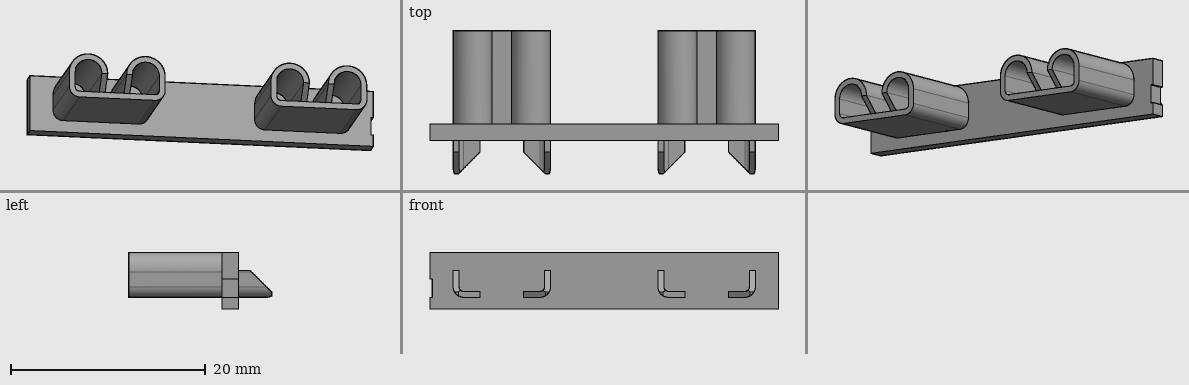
import cadquery as cq
import math

plate_length = 35.8
plate_thickness = 1.72
plate_height = 5.85
notch_depth = 0.25
notch_height = 1.85

clip_pitch = 21.02
clip_width = 10.0
socket_length = 9.55
sheet = 0.6
bend_radius = 1.07
hood_radius = 2.0
hood_center_z = 2.6
inner_wall_gap = 0.3

leg_flange = 2.75
leg_straight = 1.18
leg_reach = 3.4

clip_bottom = plate_height - hood_center_z - hood_radius
hood_inner = hood_radius - sheet
bend_inner = bend_radius - sheet
inner_wall_bottom = sheet + inner_wall_gap
inner_wall_drop = hood_center_z - inner_wall_bottom
socket_span = 2 * hood_radius
leg_end = plate_thickness + leg_reach
leg_shoulder = plate_thickness + leg_straight
tip_width = leg_flange - (leg_reach - leg_straight)


def bent_sheet(length):
    """Left half of the clip section, extruded along -Y (+Y if length is negative).

    The outer wall lies on X = 0, the underside of the base on Z = 0.
    """
    bend_diagonal = math.sqrt(0.5)
    outer_bend_mid = bend_radius * (1 - bend_diagonal)
    inner_bend_mid = bend_radius - bend_inner * bend_diagonal
    return (
        cq.Workplane("XZ")
        .moveTo(clip_width / 2, 0)
        .lineTo(bend_radius, 0)
        .threePointArc((outer_bend_mid, outer_bend_mid), (0, bend_radius))
        .lineTo(0, hood_center_z)
        .threePointArc((hood_radius, hood_center_z + hood_radius), (socket_span, hood_center_z))
        .lineTo(socket_span, inner_wall_bottom)
        .lineTo(socket_span - sheet, inner_wall_bottom)
        .lineTo(socket_span - sheet, hood_center_z)
        .threePointArc((hood_radius, hood_center_z + hood_inner), (sheet, hood_center_z))
        .lineTo(sheet, bend_radius)
        .threePointArc((inner_bend_mid, inner_bend_mid), (bend_radius, sheet))
        .lineTo(clip_width / 2, sheet)
        .close()
        .extrude(length)
    )


def make_socket():
    """Socket behind the plate, its inner wall cut back at 45 degrees below the hood."""
    inner_wall_cut = (
        cq.Workplane("YZ")
        .workplane(offset=socket_span - sheet)
        .moveTo(socket_length, hood_center_z)
        .lineTo(socket_length, inner_wall_bottom)
        .lineTo(socket_length - inner_wall_drop, inner_wall_bottom)
        .close()
        .extrude(sheet)
    )
    return bent_sheet(-socket_length).cut(inner_wall_cut)


def leg_taper(plane, depth):
    """Prism with the tapered outline of a leg flange, drawn on the given plane."""
    return (
        cq.Workplane(plane)
        .polyline([
            (0, 0),
            (leg_flange, 0),
            (leg_flange, -leg_shoulder),
            (tip_width, -leg_end),
            (0, -leg_end),
        ])
        .close()
        .extrude(depth)
    )


def make_leg():
    """Corner of the clip section carried through the plate, both flanges tapered."""
    bottom_flange = leg_taper("XY", leg_flange)
    side_flange = leg_taper("ZY", -leg_flange)
    return bent_sheet(leg_end).intersect(bottom_flange).intersect(side_flange)


def make_clip(center_x):
    """Two mirrored halves, each a socket with its leg, joined along the base."""
    left_half = make_socket().union(make_leg()).translate((-clip_width / 2, 0, clip_bottom))
    return left_half.union(left_half.mirror("YZ")).translate((center_x, 0, 0))


def make_plate(clips):
    """Plate with a shallow notch in its left end and an L-shaped slot around each leg."""
    plate = cq.Workplane("XY").box(
        plate_length, plate_thickness, plate_height, centered=(True, False, False)
    ).translate((0, -plate_thickness, 0))
    notch = cq.Workplane("XY").box(
        notch_depth, plate_thickness, notch_height, centered=False
    ).translate((-plate_length / 2, -plate_thickness, clip_bottom))
    plate = plate.cut(notch)
    for clip in clips:
        plate = plate.cut(clip)
    return plate


clips = [make_clip(side * clip_pitch / 2) for side in (-1, 1)]
plate = make_plate(clips)

result = cq.Compound.makeCompound([
    *plate.solids().vals(),
    *[clip.solids().val() for clip in clips],
])